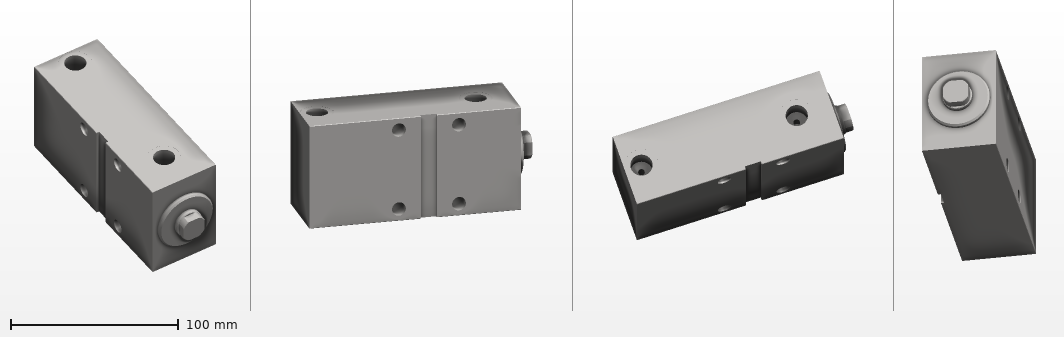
import cadquery as cq


TOTAL_LENGTH = 141.0
BLOCK_LENGTH = 130.0
BLOCK_DEPTH = 45.0
BLOCK_HEIGHT = 65.0
EDGE_CHAMFER = 0.3

GROOVE_CENTER_X = 73.5
GROOVE_WIDTH = 10.0
GROOVE_DEPTH = 2.0

HOLE_DIAMETER = 8.5
HOLE_SPACING_X = 37.0
HOLE_SPACING_Z = 50.0

REAR_PORT_X = 10.5
FRONT_PORT_X = 108.0
SPOT_FACE_DIAMETER = 20.0
SPOT_FACE_DEPTH = 0.07
PORT_DIAMETER = 13.3
PORT_DEPTH = 12.7
PASSAGE_DIAMETER = 4.0

GLAND_DIAMETER = 38.0
GLAND_THICKNESS = 3.0
GLAND_CHAMFER = 1.0
SPIGOT_DIAMETER = 24.0
SPIGOT_START_X = FRONT_PORT_X - PORT_DIAMETER / 2

ROD_DIAMETER = 18.0
ROD_CHAMFER = 0.4
ROD_START_X = REAR_PORT_X - PORT_DIAMETER / 2
ROD_COLLAR_LENGTH = 3.0
ROD_END_DIAMETER = 17.0
WRENCH_SIZE = 15.0

GLAND_END_X = BLOCK_LENGTH + GLAND_THICKNESS
ROD_SHOULDER_X = GLAND_END_X + ROD_COLLAR_LENGTH
ROD_END_LENGTH = TOTAL_LENGTH - ROD_SHOULDER_X


def cylinder_along_x(diameter, start_x, length):
    return cq.Workplane("YZ", origin=(start_x, 0, 0)).circle(diameter / 2).extrude(length)


def make_rod_bore():
    return cylinder_along_x(ROD_DIAMETER, ROD_START_X, TOTAL_LENGTH - ROD_START_X)


def make_spigot():
    return cylinder_along_x(SPIGOT_DIAMETER, SPIGOT_START_X, BLOCK_LENGTH - SPIGOT_START_X)


def make_groove():
    return cq.Workplane("XY").box(GROOVE_WIDTH, 2 * GROOVE_DEPTH, BLOCK_HEIGHT).translate(
        (GROOVE_CENTER_X, -BLOCK_DEPTH / 2, 0)
    )


def make_mounting_holes():
    return (
        cq.Workplane("XZ", origin=(GROOVE_CENTER_X, BLOCK_DEPTH / 2, 0))
        .rarray(HOLE_SPACING_X, HOLE_SPACING_Z, 2, 2)
        .circle(HOLE_DIAMETER / 2)
        .extrude(BLOCK_DEPTH)
    )


def make_port(center_x):
    """Spot face, port bore and a narrow passage down to the bore on the rod axis."""
    top = cq.Workplane("XY", origin=(center_x, 0, BLOCK_HEIGHT / 2))
    spot_face = top.circle(SPOT_FACE_DIAMETER / 2).extrude(-SPOT_FACE_DEPTH)
    bore = top.circle(PORT_DIAMETER / 2).extrude(-PORT_DEPTH)
    passage = top.circle(PASSAGE_DIAMETER / 2).extrude(-BLOCK_HEIGHT / 2)
    return spot_face.union(bore).union(passage)


def make_block():
    block = (
        cq.Workplane("XY")
        .box(BLOCK_LENGTH, BLOCK_DEPTH, BLOCK_HEIGHT)
        .translate((BLOCK_LENGTH / 2, 0, 0))
        .edges("|X")
        .chamfer(EDGE_CHAMFER)
    )
    block = block.cut(make_groove()).cut(make_mounting_holes())
    for center_x in (REAR_PORT_X, FRONT_PORT_X):
        block = block.cut(make_port(center_x))
    return block.cut(make_rod_bore()).cut(make_spigot())


def make_gland():
    disc = cylinder_along_x(GLAND_DIAMETER, BLOCK_LENGTH, GLAND_THICKNESS)
    disc = disc.faces(">X").chamfer(GLAND_CHAMFER)
    return disc.union(make_spigot()).cut(make_rod_bore())


def make_rod():
    shaft = cylinder_along_x(ROD_DIAMETER, ROD_START_X, ROD_SHOULDER_X - ROD_START_X)
    shaft = shaft.faces(">X").chamfer(ROD_CHAMFER)
    end = cylinder_along_x(ROD_END_DIAMETER, ROD_SHOULDER_X, ROD_END_LENGTH)
    end = end.faces(">X").chamfer(ROD_CHAMFER)
    flats = (
        cq.Workplane("YZ", origin=(ROD_SHOULDER_X, 0, 0))
        .rect(WRENCH_SIZE, WRENCH_SIZE)
        .extrude(ROD_END_LENGTH)
    )
    return shaft.union(end.intersect(flats))


block = make_block().solids()
gland = make_gland().solids()
rod = make_rod().solids()

result = cq.Compound.makeCompound([block.val(), gland.val(), rod.val()])